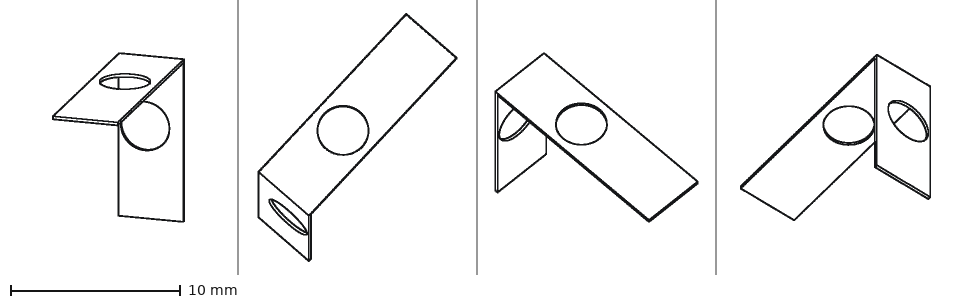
import cadquery as cq

width = 4.0
length = 13.0
height = 10.0
thickness = 0.2

hole_diameter = 3.0
top_hole_x = width / 2
top_hole_from_corner = 5.23
back_hole_x = 1.65
back_hole_from_corner = 4.3


def horizontal_leg():
    """Top plate with its hole; the outer corner is at Y = length, Z = height."""
    plate = cq.Workplane("XY").box(width, length, thickness, centered=False)
    hole = (
        cq.Workplane("XY")
        .center(top_hole_x, length - top_hole_from_corner)
        .circle(hole_diameter / 2)
        .extrude(thickness)
    )
    return plate.cut(hole).translate((0, 0, height - thickness))


def vertical_leg():
    """Back plate hanging from the +Y end, with its off-centre hole."""
    plate = cq.Workplane("XY").box(width, thickness, height, centered=False)
    hole = (
        cq.Workplane("XZ")
        .center(back_hole_x, height - back_hole_from_corner)
        .circle(hole_diameter / 2)
        .extrude(-thickness)
    )
    return plate.cut(hole).translate((0, length - thickness, 0))


result = horizontal_leg().union(vertical_leg()).clean()